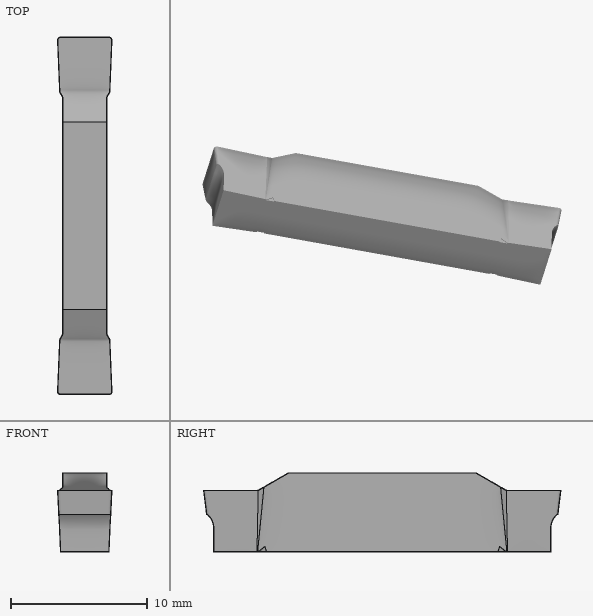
import math

import cadquery as cq

length = 26.24
height = 5.79
cutting_width = 4.0
body_width = 3.25

seat_height = 4.5
corner_radius = 0.22
side_relief = 2.5
back_taper = 2.35
front_relief = 7.0
front_face_depth = 1.75
ledge_depth = 0.05
foot_y = 12.38
hollow_bottom = 1.7

ramp_angle = 30.0
ramp_start_y = 9.13
ramp_blend_radius = 0.32

shoulder_y = 9.11
shoulder_lean = 1.15
shoulder_angle = 29.0

notch_outer_y = 9.1
notch_inner_y = 8.5
notch_peak_y = 8.62
notch_height = 0.38
notch_depth = 0.06

tip_y = length / 2
body_half_width = body_width / 2


def tan(degrees):
    return math.tan(math.radians(degrees))


def plan_section(z):
    """Plan outline of the insert at height z, as a closed wire."""
    drop = seat_height - z
    shoulder_at_z = shoulder_y + drop * tan(shoulder_lean)

    def head_half_width(y):
        from_widest = tip_y - corner_radius - y
        return cutting_width / 2 - from_widest * tan(back_taper) - drop * tan(side_relief)

    shoulder_half_width = head_half_width(shoulder_at_z)
    shoulder_run = (shoulder_half_width - body_half_width) / tan(shoulder_angle)
    quarter = [
        (body_half_width, shoulder_at_z - shoulder_run),
        (shoulder_half_width, shoulder_at_z),
        (head_half_width(tip_y), tip_y),
    ]
    right = [(x, -y) for x, y in reversed(quarter)] + quarter
    left = [(-x, -y) for x, y in right]
    return cq.Wire.makePolygon([cq.Vector(x, y, z) for x, y in right + left], close=True)


def side_profile():
    """Side outline extruded across the width."""
    half_extent = cutting_width
    front_bottom = seat_height - front_face_depth
    front_bottom_y = tip_y - front_face_depth * tan(front_relief)
    hollow_y = front_bottom_y - ledge_depth
    ramp_top_y = ramp_start_y - (height - seat_height) / tan(ramp_angle)

    hollow_run = hollow_y - foot_y
    hollow_rise = front_bottom - hollow_bottom
    hollow_radius = (hollow_run**2 + hollow_rise**2) / (2 * hollow_run)
    half_sweep = math.atan2(hollow_run, hollow_rise)
    mid_y = foot_y + hollow_radius * (1 - math.cos(half_sweep))
    mid_z = hollow_bottom + hollow_radius * math.sin(half_sweep)

    half = (
        cq.Workplane("YZ")
        .moveTo(0, 0)
        .lineTo(foot_y, 0)
        .lineTo(foot_y, hollow_bottom)
        .threePointArc((mid_y, mid_z), (hollow_y, front_bottom))
        .lineTo(front_bottom_y, front_bottom)
        .lineTo(tip_y, seat_height)
        .lineTo(ramp_start_y, seat_height)
        .lineTo(ramp_top_y, height)
        .lineTo(0, height)
        .close()
        .extrude(half_extent, both=True)
    )
    blend_edge = cq.selectors.NearestToPointSelector((0, ramp_start_y, seat_height))
    half = half.edges("|X").edges(blend_edge).fillet(ramp_blend_radius)
    return half.union(half.mirror("XZ"))


def round_corners(insert):
    """Round the four upright corners of the front faces."""
    mid_z = seat_height - front_face_depth / 2
    for x in (-cutting_width / 2, cutting_width / 2):
        for y in (-tip_y, tip_y):
            corner = cq.selectors.NearestToPointSelector((x, y, mid_z))
            insert = insert.edges(corner).fillet(corner_radius)
    return insert


def side_notches():
    """Four shallow triangular notches at the base of the body sides."""
    notch = (
        cq.Workplane("YZ", origin=(body_half_width - notch_depth, 0, 0))
        .polyline([(notch_outer_y, 0), (notch_peak_y, notch_height), (notch_inner_y, 0)])
        .close()
        .extrude(2 * notch_depth)
    )
    pair = notch.union(notch.mirror("XZ"))
    return pair.union(pair.mirror("YZ"))


plan_body = cq.Solid.makeLoft([plan_section(0), plan_section(height)], True)
insert = cq.Workplane(plan_body).intersect(side_profile())
result = round_corners(insert).cut(side_notches())